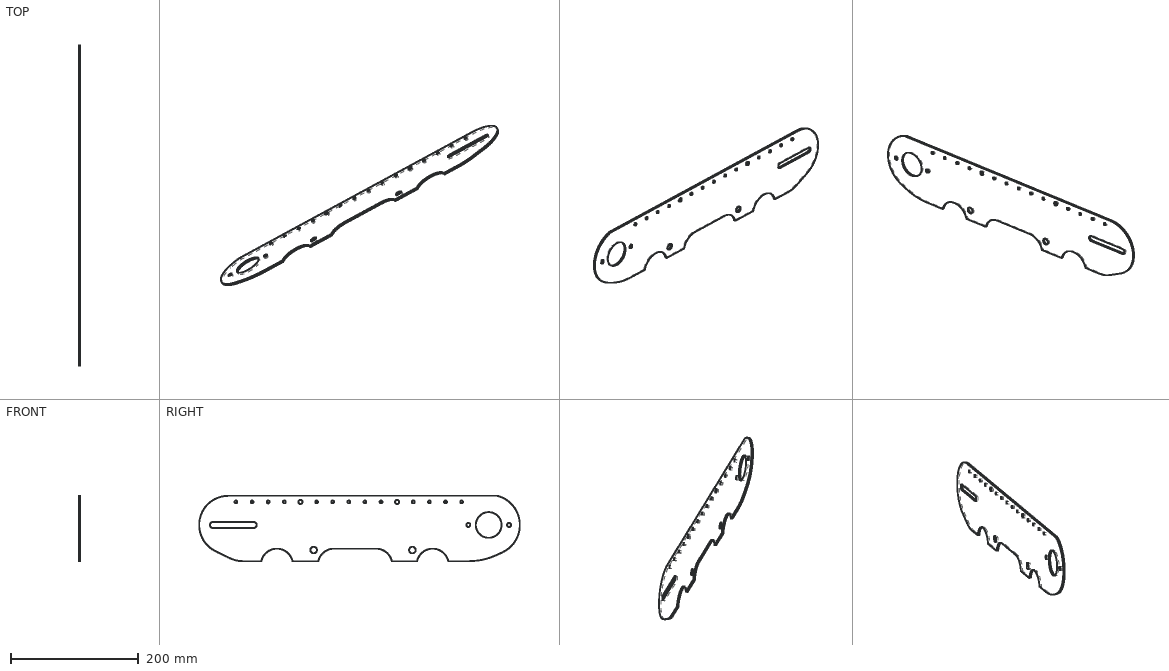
import cadquery as cq
import math

thickness = 3.0
length = 503.09
height = 102.82
top_z = height / 2
bottom_z = -height / 2

top_radius = 45.9
hub_radius = 47.5
axis_z = top_z - top_radius
hub_u = hub_radius - length / 2
nose_u = length / 2 - top_radius

hub_slope = math.radians(25.0)
nose_slope = math.radians(26.0)
hub_blend_radius = 100.0
nose_blend_radius = 45.0

scallop_radius = 25.0
scallop_depth = 19.6
scallop_positions = (-114.7, 129.5)
recess_start_u = -26.2
recess_end_u = 40.1

bore_u = -202.5
bore_diameter = 40.0
bolt_diameter = 6.1
bolt_offset = 32.0

row_z = top_z - 9.8
row_first_u = -160.1
row_pitch = 25.27
row_count = 15
row_small_diameter = 4.1
row_large_diameter = 6.2
row_large_indices = (4, 10)

mount_diameter = 10.0
mount_z = -33.8
mount_positions = (-82.9, 71.9)

slot_length = 73.0
slot_width = 9.0
slot_center_u = 197.8


def extrude(sketch):
    """Extrude a profile through the plate thickness, centred on X = 0."""
    return sketch.extrude(thickness / 2, both=True)


def profile_plane():
    """Plane whose local x is -Y and local y is Z."""
    return cq.Workplane(cq.Plane(origin=(0, 0, 0), xDir=(0, -1, 0), normal=(-1, 0, 0)))


def flank_points(center_u, end_radius, slope, blend_radius, side):
    """Points of one lower flank: end arc tangent, blend start, blend middle, blend end.

    side is -1 for the hub end and +1 for the nose end.
    """
    tangent_u = center_u + side * end_radius * math.sin(slope)
    tangent_z = axis_z - end_radius * math.cos(slope)
    corner_u = tangent_u - side * (tangent_z - bottom_z) / math.tan(slope)
    blend_center_u = corner_u - side * blend_radius * math.tan(slope / 2)
    blend_center_z = bottom_z + blend_radius

    def blend_point(angle):
        return (
            blend_center_u + side * blend_radius * math.sin(angle),
            blend_center_z - blend_radius * math.cos(angle),
        )

    return (tangent_u, tangent_z), blend_point(slope), blend_point(slope / 2), blend_point(0)


def make_plate():
    hub_tangent, hub_blend_start, hub_blend_mid, hub_blend_end = flank_points(
        hub_u, hub_radius, hub_slope, hub_blend_radius, -1
    )
    nose_tangent, nose_blend_start, nose_blend_mid, nose_blend_end = flank_points(
        nose_u, top_radius, nose_slope, nose_blend_radius, 1
    )
    hub_top_u = hub_u - math.sqrt(hub_radius**2 - top_radius**2)
    outline = (
        profile_plane()
        .moveTo(hub_top_u, top_z)
        .lineTo(nose_u, top_z)
        .threePointArc((nose_u + top_radius, axis_z), nose_tangent)
        .lineTo(*nose_blend_start)
        .threePointArc(nose_blend_mid, nose_blend_end)
        .lineTo(*hub_blend_end)
        .threePointArc(hub_blend_mid, hub_blend_start)
        .lineTo(*hub_tangent)
        .threePointArc((hub_u - hub_radius, axis_z), (hub_top_u, top_z))
        .close()
    )
    return extrude(outline)


def make_holes(points, diameter):
    return extrude(profile_plane().pushPoints(points).circle(diameter / 2))


def cut_bottom_edge(plate):
    center_z = bottom_z + scallop_depth - scallop_radius
    arc_centers = scallop_positions + (recess_start_u, recess_end_u)
    plate = plate.cut(make_holes([(u, center_z) for u in arc_centers], 2 * scallop_radius))
    recess = (
        profile_plane()
        .center((recess_start_u + recess_end_u) / 2, center_z)
        .rect(recess_end_u - recess_start_u, 2 * scallop_radius)
    )
    return plate.cut(extrude(recess))


def cut_bore(plate):
    bolts = [(bore_u + side * bolt_offset, axis_z) for side in (-1, 1)]
    plate = plate.cut(make_holes([(bore_u, axis_z)], bore_diameter))
    return plate.cut(make_holes(bolts, bolt_diameter))


def cut_hole_row(plate):
    for index in range(row_count):
        diameter = row_large_diameter if index in row_large_indices else row_small_diameter
        plate = plate.cut(make_holes([(row_first_u + index * row_pitch, row_z)], diameter))
    return plate


def cut_mount_holes(plate):
    return plate.cut(make_holes([(u, mount_z) for u in mount_positions], mount_diameter))


def cut_slot(plate):
    slot = profile_plane().center(slot_center_u, axis_z).slot2D(slot_length, slot_width)
    return plate.cut(extrude(slot))


result = make_plate()
result = cut_bottom_edge(result)
result = cut_bore(result)
result = cut_hole_row(result)
result = cut_mount_holes(result)
result = cut_slot(result)